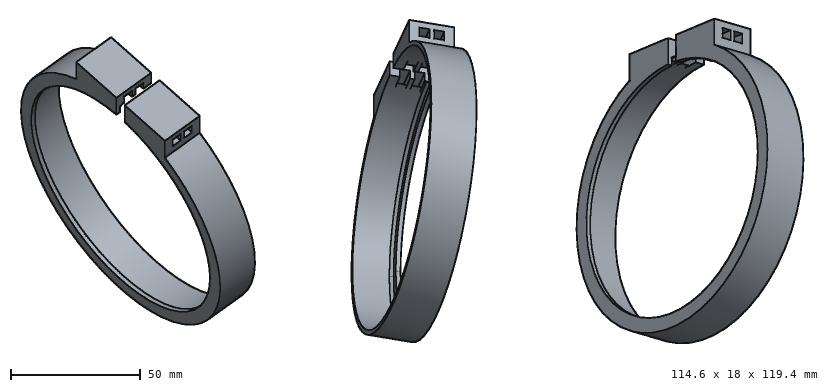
import cadquery as cq

width = 18.0
total_height = 119.4
ring_radius = 57.3
block_top = total_height - ring_radius

lip_radius = 51.4
lip_width = 1.9
flare_start_radius = 54.7
flare_width = 1.4
bore_radius = 55.5

blocks_span = 51.0
gap = 4.8

passage_size = 4.1
passage_pitch = 5.9
passage_depth = 4.9

front = -width / 2


def disc(radius, start, length):
    """Solid cylinder along +Y, starting at the given Y position."""
    plane = cq.Plane(origin=(0, start, 0), xDir=(1, 0, 0), normal=(0, 1, 0))
    return cq.Workplane(plane).circle(radius).extrude(length)


def flare(start_radius, end_radius, start, length):
    """Solid cone frustum along +Y, widening from start_radius to end_radius."""
    half_profile = [
        (0, start),
        (start_radius, start),
        (end_radius, start + length),
        (0, start + length),
    ]
    return cq.Workplane("XY").polyline(half_profile).close().revolve(360, (0, 0), (0, 1))


block_bar = cq.Workplane("XY").box(blocks_span, width, block_top, centered=(True, True, False))
body = disc(ring_radius, front, width).union(block_bar)

flare_start = front + lip_width
bore_start = flare_start + flare_width
body = body.cut(disc(lip_radius, front, lip_width))
body = body.cut(flare(flare_start_radius, bore_radius, flare_start, flare_width))
body = body.cut(disc(bore_radius, bore_start, width / 2 - bore_start))

gap_cutter = cq.Workplane("XY").box(gap, width, block_top, centered=(True, True, False))
body = body.cut(gap_cutter)

for side in (-1, 1):
    passage = cq.Workplane("XY").box(blocks_span, passage_size, passage_size)
    passage_position = (0, side * passage_pitch / 2, block_top - passage_depth)
    body = body.cut(passage.translate(passage_position))

result = body